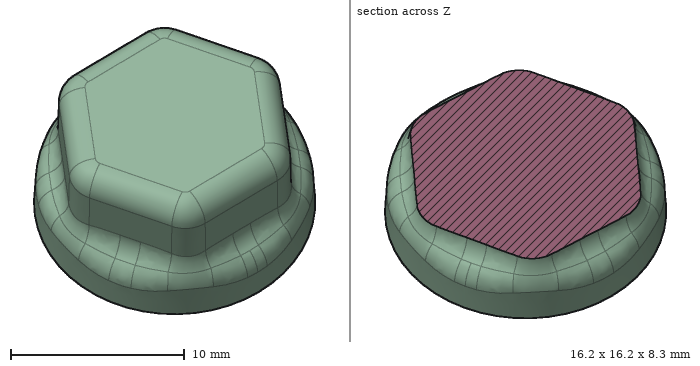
import cadquery as cq
import math

BASE_DIAMETER = 16.2
BASE_HEIGHT = 2.88
BASE_DRAFT = 3.0
TRIM_ALLOWANCE = 0.02

HEIGHT = 8.3
HEAD_ACROSS_FLATS = 12.94
HEAD_CORNER_RADIUS = 2.0
HEAD_DRAFT = 1.0

ROUND_RADIUS = 1.5

TOLERANCE = 0.01


def make_base(radius, height):
    """Drafted disc standing on the XY plane."""
    return cq.Workplane("XY").circle(radius).extrude(height, taper=BASE_DRAFT)


def make_head():
    """Drafted hexagonal head with round corners, two of them along Y."""
    circumradius = HEAD_ACROSS_FLATS / 2 / math.cos(math.radians(30))
    outline = (
        cq.Sketch()
        .regularPolygon(circumradius, 6)
        .vertices()
        .fillet(HEAD_CORNER_RADIUS)
    )
    head = cq.Workplane("XY").workplane(offset=BASE_HEIGHT).placeSketch(outline)
    head = head.extrude(HEIGHT - BASE_HEIGHT, taper=HEAD_DRAFT)
    return head.faces(">Z").edges().fillet(ROUND_RADIUS)


def blend_head_into_base(part):
    """Concave round along the foot of the head."""
    shoulder = part.faces(cq.selectors.BoxSelector(
        (-BASE_DIAMETER, -BASE_DIAMETER, BASE_HEIGHT - TOLERANCE),
        (BASE_DIAMETER, BASE_DIAMETER, BASE_HEIGHT + TOLERANCE),
    ))
    foot_edges = shoulder.val().innerWires()[0].Edges()
    return part.newObject(foot_edges).fillet(ROUND_RADIUS)


def round_base_edge(part):
    """Convex round where the side of the base meets the concave round."""
    trimmed = part.intersect(make_base(BASE_DIAMETER / 2, HEIGHT))
    bottom_edge = trimmed.faces("<Z").edges().val()
    side = next(
        face for face in bottom_edge.ancestors(trimmed.val(), "Face").Faces()
        if face.geomType() == "CONE"
    )
    rim_edges = [edge for edge in side.Edges() if edge.BoundingBox().zmin > BASE_HEIGHT / 2]
    return trimmed.newObject(rim_edges).fillet(ROUND_RADIUS)


part = make_base(BASE_DIAMETER / 2 + TRIM_ALLOWANCE, BASE_HEIGHT).union(make_head())
part = blend_head_into_base(part)
result = round_base_edge(part)